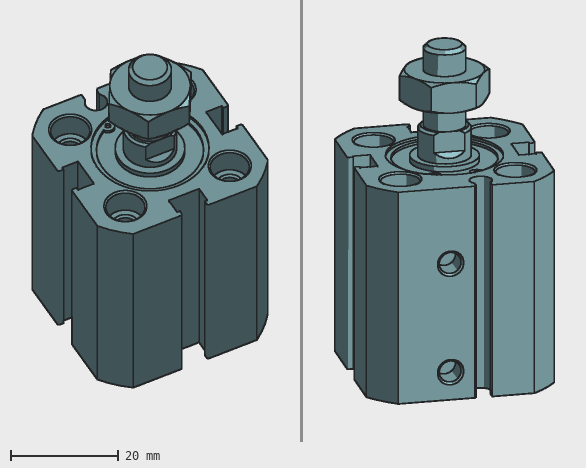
import cadquery as cq
import math


housing_width = 36.0
housing_height = 42.0
corner_radius = 22.2

slot_depth = 4.5
slot_width = 6.4
slot_mouth_width = 5.25
slot_lip_thickness = 1.15
slot_edge_radius = 0.4

groove_y = -3.45
groove_diameter = 4.2
groove_centre_depth = 3.0
groove_mouth_width = 3.0
groove_edge_chamfer = 0.4

mount_spacing = 22.0
mount_hole_diameter = 4.15
mount_hole_mouth_diameter = 5.0
counterbore_diameter = 7.3
counterbore_mouth_diameter = 8.0
counterbore_depth = 5.0

port_y = 3.0
port_heights = (5.5, 27.0)
port_diameter = 4.15
port_mouth_diameter = 5.0
port_depth = 5.0

recess_diameter = 22.0
recess_depth = 1.0
collar_diameter = 13.0
ring_inner_diameter = 20.0
ring_thickness = recess_depth / 2
ring_gap_half_angle = math.radians(16.6)
lug_radius = 1.35
lug_x = -9.1
lug_y = 4.1
lug_hole_diameter = 1.0

total_height = 64
rod_diameter = 10.0
shoulder_z = 48.0
shoulder_chamfer = 0.5
flat_width = 8.0
flat_height = 4.0
thread_diameter = 8.0
thread_tip_chamfer = 0.8

nut_width = 15.0
nut_bottom_z = 52.9
nut_height = 6.0
nut_chamfer_angle = math.radians(30)
hexagon_turn = 30

half_width = housing_width / 2
floor_z = housing_height - recess_depth


def cylinder(diameter, bottom_z, height):
    return cq.Workplane("XY").workplane(offset=bottom_z).circle(diameter / 2).extrude(height)


def countersink(workplane, mouth_diameter, hole_diameter):
    """45 degree cone that narrows from the mouth to the hole, against the workplane normal."""
    depth = (mouth_diameter - hole_diameter) / 2
    return (
        workplane.circle(mouth_diameter / 2)
        .workplane(offset=-depth)
        .circle(hole_diameter / 2)
        .loft(ruled=True)
    )


def housing_block():
    corner = math.sqrt(corner_radius**2 - half_width**2)
    middle = corner_radius / math.sqrt(2)
    return (
        cq.Workplane("XY")
        .moveTo(half_width, -corner)
        .lineTo(half_width, corner)
        .threePointArc((middle, middle), (corner, half_width))
        .lineTo(-corner, half_width)
        .threePointArc((-middle, middle), (-half_width, corner))
        .lineTo(-half_width, -corner)
        .threePointArc((-middle, -middle), (-corner, -half_width))
        .lineTo(corner, -half_width)
        .threePointArc((middle, -middle), (half_width, -corner))
        .close()
        .extrude(housing_height)
    )


def mounting_slot():
    """Undercut slot that opens on the +X face."""
    half_mouth = slot_mouth_width / 2
    half_slot = slot_width / 2
    lip_x = half_width - slot_lip_thickness
    bottom_x = half_width - slot_depth
    round_x = half_width - slot_edge_radius
    round_y = half_mouth + slot_edge_radius
    round_middle_x = round_x + slot_edge_radius / math.sqrt(2)
    round_middle_y = round_y - slot_edge_radius / math.sqrt(2)
    return (
        cq.Workplane("XY")
        .moveTo(half_width, round_y)
        .threePointArc((round_middle_x, round_middle_y), (round_x, half_mouth))
        .lineTo(lip_x, half_mouth)
        .lineTo(lip_x, half_slot)
        .lineTo(bottom_x, half_slot)
        .lineTo(bottom_x, -half_slot)
        .lineTo(lip_x, -half_slot)
        .lineTo(lip_x, -half_mouth)
        .lineTo(round_x, -half_mouth)
        .threePointArc((round_middle_x, -round_middle_y), (half_width, -round_y))
        .close()
        .extrude(housing_height)
    )


def sensor_groove():
    """Round groove with a narrower mouth, chamfered on the mouth's +Y edge."""
    centre_x = -half_width + groove_centre_depth
    upper_y = groove_y + groove_mouth_width / 2
    lower_y = groove_y - groove_mouth_width / 2
    mouth = (
        cq.Workplane("XY")
        .moveTo(centre_x, lower_y)
        .lineTo(-half_width, lower_y)
        .lineTo(-half_width, upper_y + groove_edge_chamfer)
        .lineTo(-half_width + groove_edge_chamfer, upper_y)
        .lineTo(centre_x, upper_y)
        .close()
        .extrude(housing_height)
    )
    return mouth.union(cylinder(groove_diameter, 0, housing_height).translate((centre_x, groove_y, 0)))


def mounting_hole():
    counterbore_floor_z = housing_height - counterbore_depth
    top_plane = cq.Workplane("XY").workplane(offset=housing_height)
    floor_plane = cq.Workplane("XY").workplane(offset=counterbore_floor_z)
    return (
        cylinder(mount_hole_diameter, 0, housing_height)
        .union(cylinder(counterbore_diameter, counterbore_floor_z, counterbore_depth))
        .union(countersink(top_plane, counterbore_mouth_diameter, counterbore_diameter))
        .union(countersink(floor_plane, mount_hole_mouth_diameter, mount_hole_diameter))
    )


def air_port(height):
    face = cq.Workplane("YZ", origin=(-half_width, port_y, height))
    bore = face.circle(port_diameter / 2).extrude(port_depth)
    outward_face = cq.Workplane(cq.Plane((-half_width, port_y, height), (0, 1, 0), (-1, 0, 0)))
    return bore.union(countersink(outward_face, port_mouth_diameter, port_diameter))


def snap_ring():
    """Open ring on the recess floor, with a pierced lug at each end."""
    ring = cylinder(recess_diameter, floor_z, ring_thickness).cut(
        cylinder(ring_inner_diameter, floor_z, ring_thickness)
    )
    gap_half_width = recess_diameter * math.tan(ring_gap_half_angle)
    gap = (
        cq.Workplane("XY")
        .workplane(offset=floor_z)
        .polyline([(0, 0), (-recess_diameter, gap_half_width), (-recess_diameter, -gap_half_width)])
        .close()
        .extrude(ring_thickness)
    )
    ring = ring.cut(gap)
    for y in (-lug_y, lug_y):
        ring = ring.union(cylinder(2 * lug_radius, floor_z, ring_thickness).translate((lug_x, y, 0)))
    for y in (-lug_y, lug_y):
        ring = ring.cut(cylinder(lug_hole_diameter, floor_z, ring_thickness).translate((lug_x, y, 0)))
    return ring


def make_housing():
    housing = housing_block()
    for angle in (-90, 0, 90):
        housing = housing.cut(mounting_slot().rotate((0, 0, 0), (0, 0, 1), angle))
    housing = housing.cut(sensor_groove())
    for x in (-mount_spacing / 2, mount_spacing / 2):
        for y in (-mount_spacing / 2, mount_spacing / 2):
            housing = housing.cut(mounting_hole().translate((x, y, 0)))
    for height in port_heights:
        housing = housing.cut(air_port(height))
    housing = housing.cut(cylinder(recess_diameter, floor_z, recess_depth))
    housing = housing.union(cylinder(collar_diameter, floor_z, recess_depth))
    return housing.union(snap_ring())


def wrench_flat():
    """Cutter for the +X wrench flat, which runs out at 45 degrees at its lower end."""
    flat_x = flat_width / 2
    outer_x = rod_diameter / 2
    flat_bottom_z = shoulder_z - flat_height
    return (
        cq.Workplane("XZ")
        .polyline(
            [
                (flat_x, shoulder_z),
                (flat_x, flat_bottom_z),
                (outer_x, flat_bottom_z - (outer_x - flat_x)),
                (outer_x, shoulder_z),
            ]
        )
        .close()
        .extrude(outer_x, both=True)
    )


def lock_nut():
    """Hexagon with flats facing X and 30 degree chamfers on both ends."""
    corner_diameter = nut_width / math.cos(math.pi / 6)
    chamfer_width = (corner_diameter - nut_width) / 2
    chamfer_height = chamfer_width * math.tan(nut_chamfer_angle)
    hexagon = (
        cq.Workplane("XY")
        .workplane(offset=nut_bottom_z)
        .polygon(6, corner_diameter)
        .extrude(nut_height)
        .rotate((0, 0, 0), (0, 0, 1), hexagon_turn)
    )
    blank = (
        cylinder(corner_diameter, nut_bottom_z, nut_height)
        .edges("%CIRCLE")
        .chamfer(chamfer_height, chamfer_width)
    )
    return hexagon.intersect(blank)


def make_piston_rod():
    shank = cylinder(rod_diameter, housing_height, shoulder_z - housing_height)
    shank = shank.faces(">Z").edges().chamfer(shoulder_chamfer)
    for angle in (0, 180):
        shank = shank.cut(wrench_flat().rotate((0, 0, 0), (0, 0, 1), angle))
    thread = cylinder(thread_diameter, shoulder_z, total_height - shoulder_z)
    thread = thread.faces(">Z").edges().chamfer(thread_tip_chamfer)
    return shank.union(thread).union(lock_nut())


housing = make_housing()
piston_rod = make_piston_rod()

result = cq.Compound.makeCompound([housing.solids().val(), piston_rod.solids().val()])